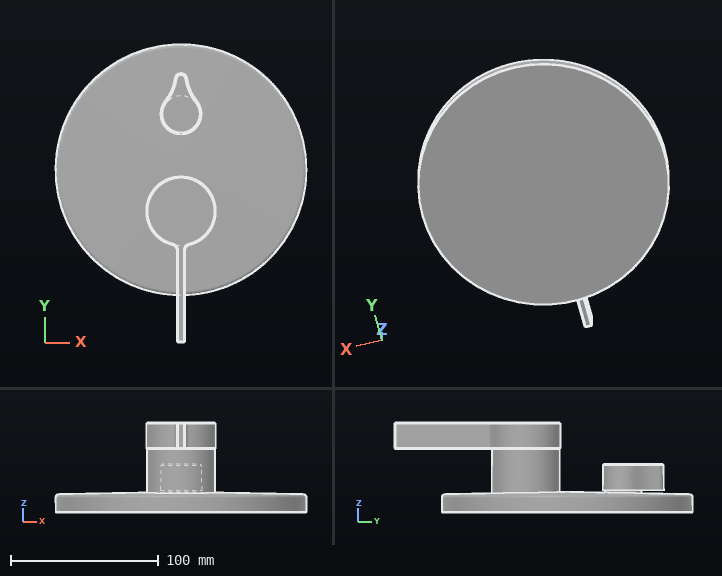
import cadquery as cq
import math

plate_diameter = 169.9
plate_radius = plate_diameter / 2
rim_height = 12.5
plate_crown_height = 14.1
plate_rounding = 2.5
plate_bottom_chamfer = 0.5

column_y = -28.0
column_radius = 23.0
hub_radius = 23.6
hub_bottom = 42.8
overall_height = 61.0
overall_length = 202
arm_width = 5.7
arm_tip_y = plate_radius - overall_length
arm_root_radius = 3.8
handle_chamfer = 1.0

knob_y = 37.8
knob_radius = 14.0
knob_bottom = 15.0
knob_top = 33.1
knob_chamfer = 1.0
knob_draft_degrees = 1
nose_radius = 4.2
nose_tip_y = 65.5
flank_radius = 31.3
stem_radius = 12.5


def make_plate():
    profile = (
        cq.Workplane("XZ")
        .lineTo(plate_radius, 0)
        .lineTo(plate_radius, rim_height)
        .lineTo(0, plate_crown_height)
        .close()
    )
    plate = profile.revolve(360, (0, 0), (0, 1))
    plate = plate.faces("<Z").edges().chamfer(plate_bottom_chamfer)
    rim_edge = cq.selectors.BoxSelector(
        (-2 * plate_radius, -2 * plate_radius, rim_height - plate_bottom_chamfer),
        (2 * plate_radius, 2 * plate_radius, rim_height + plate_bottom_chamfer),
    )
    return plate.edges("%CIRCLE").edges(rim_edge).fillet(plate_rounding)


def make_handle():
    column = cq.Workplane().center(0, column_y).circle(column_radius).extrude(hub_bottom)

    hub_height = overall_height - hub_bottom
    base = cq.Workplane().workplane(offset=hub_bottom)
    hub = base.center(0, column_y).circle(hub_radius).extrude(hub_height)
    arm_length = column_y - arm_tip_y
    arm = (
        base.center(0, column_y - arm_length / 2)
        .rect(arm_width, arm_length)
        .extrude(hub_height)
    )

    root_y = column_y - math.sqrt(hub_radius**2 - (arm_width / 2) ** 2)
    root_edges = cq.selectors.BoxSelector(
        (-arm_width, root_y - arm_width / 2, hub_bottom),
        (arm_width, root_y + arm_width / 2, overall_height),
    )
    lever = hub.union(arm).edges("|Z").edges(root_edges).fillet(arm_root_radius)

    lever = (
        lever.edges(">Z")
        .add(lever.faces("<Y").edges())
        .add(lever.faces("<Z").edges("|Y"))
        .chamfer(handle_chamfer)
    )
    return column.union(lever)


def make_knob():
    nose_y = nose_tip_y - nose_radius
    spacing = nose_y - knob_y
    body_side = knob_radius + flank_radius
    nose_side = nose_radius + flank_radius
    along = (spacing**2 + body_side**2 - nose_side**2) / (2 * spacing)
    flank_x = math.sqrt(body_side**2 - along**2)
    flank_y = knob_y + along

    body_share = knob_radius / body_side
    nose_share = nose_radius / nose_side
    body_x = flank_x * body_share
    body_y = knob_y + along * body_share
    nose_x = flank_x * nose_share
    nose_end_y = nose_y + (flank_y - nose_y) * nose_share

    chord_x = (body_x + nose_x) / 2 - flank_x
    chord_y = (body_y + nose_end_y) / 2 - flank_y
    reach = flank_radius / math.hypot(chord_x, chord_y)
    middle_x = flank_x + chord_x * reach
    middle_y = flank_y + chord_y * reach

    knob = (
        cq.Workplane()
        .workplane(offset=knob_bottom)
        .moveTo(body_x, body_y)
        .threePointArc((middle_x, middle_y), (nose_x, nose_end_y))
        .threePointArc((0, nose_tip_y), (-nose_x, nose_end_y))
        .threePointArc((-middle_x, middle_y), (-body_x, body_y))
        .threePointArc((0, knob_y - knob_radius), (body_x, body_y))
        .close()
        .extrude(knob_top - knob_bottom, taper=knob_draft_degrees)
        .faces(">Z")
        .edges()
        .chamfer(knob_chamfer)
    )
    stem = cq.Workplane().center(0, knob_y).circle(stem_radius).extrude(knob_bottom)
    return stem.union(knob)


result = make_plate().union(make_handle()).union(make_knob())